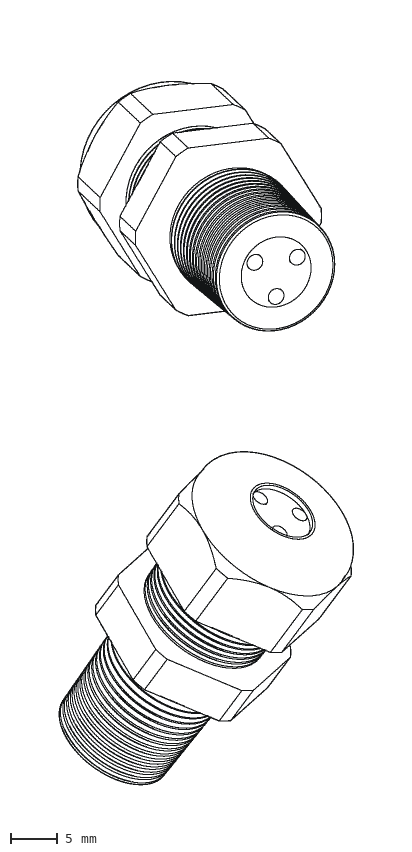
import cadquery as cq
import math


length = 37.08
nut_end = 10.85
collar_start = 17.1
collar_end = 22.05

across_flats = 19.05
corner_radius = 10.55
dome_radius = across_flats / 2
dome_fillet = 2.05
cone_start = 2.8

flank_slope = math.tan(math.radians(60))
thread_taper = 1 / 32

clamp_radius = 7.6
clamp_root = 7.0
clamp_first_groove = 11.25
clamp_last_groove = 16.6
clamp_groove_count = 8

entry_neck_radius = 6.35
entry_runout_end = 23.1
entry_radius = 7.15
entry_root = 6.45
entry_first_groove = 23.45
entry_last_groove = 36.75
entry_groove_count = 16
entry_end_radius = 6.45

insert_radius = 3.95
recess_depth = 0.6
wire_hole_count = 3
wire_hole_radius = 0.9
wire_circle_radius = 2.78
recess_radius = wire_circle_radius + wire_hole_radius


def cylinder(radius, start, end, y=0.0, z=0.0):
    """Cylinder along X."""
    return cq.Workplane("YZ", origin=(start, y, z)).circle(radius).extrude(end - start)


def hexagon(start, end):
    """Hexagonal prism along X with two flats facing up and down."""
    across_corners = across_flats / math.cos(math.radians(30))
    return cq.Workplane("YZ", origin=(start, 0, 0)).polygon(6, across_corners).extrude(end - start)


def revolve_about_x(outline):
    return outline.close().revolve(360, (0, 0, 0), (1, 0, 0))


def crest_radius(x, start, start_radius):
    """Radius of a tapered thread blank at x."""
    return start_radius - thread_taper * (x - start)


def groove_points(start, start_radius, root, first_groove, last_groove, count):
    """Left edge, root and right edge of each V groove."""
    pitch = (last_groove - first_groove) / (count - 1)
    points = []
    for i in range(count):
        x = first_groove + i * pitch
        depth = crest_radius(x, start, start_radius) - root
        left = x - depth / (flank_slope - thread_taper)
        right = x + depth / (flank_slope + thread_taper)
        points.append((left, crest_radius(left, start, start_radius)))
        points.append((x, root))
        points.append((right, crest_radius(right, start, start_radius)))
    return points


def make_dome_nut():
    cone_end = cone_start + corner_radius - dome_radius
    arc_reach = dome_fillet * math.sqrt(0.5)
    arc_middle = (dome_fillet - arc_reach, dome_radius - dome_fillet + arc_reach)
    envelope = revolve_about_x(
        cq.Workplane("XY")
        .lineTo(0, dome_radius - dome_fillet)
        .threePointArc(arc_middle, (dome_fillet, dome_radius))
        .lineTo(cone_start, dome_radius)
        .lineTo(cone_end, corner_radius)
        .lineTo(nut_end, corner_radius)
        .lineTo(nut_end, 0)
    )
    return hexagon(0, nut_end).intersect(envelope)


def make_collar():
    return hexagon(collar_start, collar_end).intersect(cylinder(corner_radius, collar_start, collar_end))


def make_clamp_thread():
    grooves = groove_points(
        nut_end, clamp_radius, clamp_root, clamp_first_groove, clamp_last_groove, clamp_groove_count
    )
    outline = cq.Workplane("XY").moveTo(nut_end, 0).lineTo(nut_end, clamp_radius)
    for point in grooves:
        outline = outline.lineTo(*point)
    end_radius = crest_radius(collar_start, nut_end, clamp_radius)
    return revolve_about_x(outline.lineTo(collar_start, end_radius).lineTo(collar_start, 0))


def make_entry_thread():
    grooves = groove_points(
        entry_runout_end, entry_radius, entry_root,
        entry_first_groove, entry_last_groove, entry_groove_count,
    )
    runout_crest = entry_root + flank_slope * (entry_first_groove - entry_runout_end)
    rise = runout_crest - entry_neck_radius
    run = entry_runout_end - collar_end
    hollow_radius = (run**2 + rise**2) / (2 * rise)
    half_turn = math.asin(run / hollow_radius) / 2
    hollow_middle = (
        collar_end + hollow_radius * math.sin(half_turn),
        entry_neck_radius + hollow_radius * (1 - math.cos(half_turn)),
    )
    outline = (
        cq.Workplane("XY")
        .moveTo(collar_end, 0)
        .lineTo(collar_end, entry_neck_radius)
        .threePointArc(hollow_middle, (entry_runout_end, runout_crest))
    )
    for point in grooves[1:]:
        outline = outline.lineTo(*point)
    outline = outline.lineTo(length, entry_end_radius).lineTo(length, 0)
    return revolve_about_x(outline)


def make_housing():
    """Dome nut, collar and both threads in one piece, bored through for the insert."""
    housing = make_dome_nut().union(make_clamp_thread()).union(make_collar()).union(make_entry_thread())
    return housing.cut(cylinder(insert_radius, 0, length))


def make_insert():
    """Sealing insert with a shallow round recess and wire holes that touch the recess wall."""
    insert = cylinder(insert_radius, 0, length)
    insert = insert.cut(cylinder(recess_radius, 0, recess_depth))
    for i in range(wire_hole_count):
        angle = math.radians(-90 + i * 360 / wire_hole_count)
        y = wire_circle_radius * math.cos(angle)
        z = wire_circle_radius * math.sin(angle)
        insert = insert.cut(cylinder(wire_hole_radius, recess_depth, length, y, z))
    return insert


housing = make_housing()
insert = make_insert()

result = cq.Compound.makeCompound([housing.val(), insert.val()])